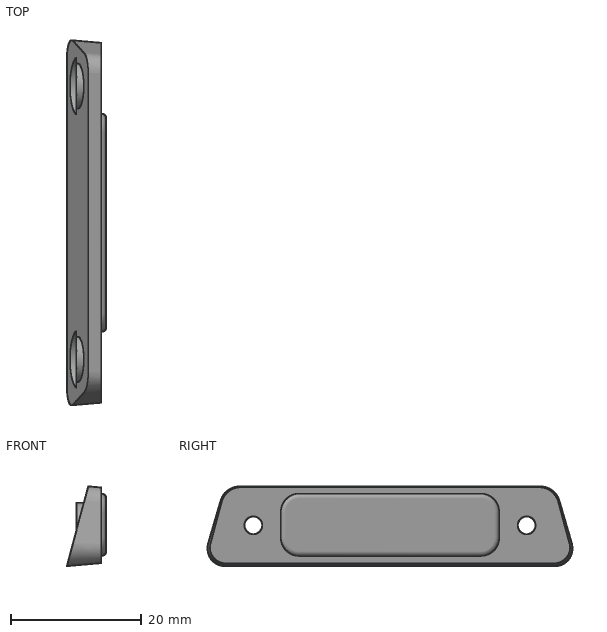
import cadquery as cq
import math

height = 12.3
depth = 5.35
draft = 5.0
end_lean = 15.0
face_tilt = 15.0
bottom_width = 56.8
bottom_half_width = bottom_width / 2
top_corner_radius = 2.9
bottom_corner_radius = 2.35

pad_half_length = 16.8
pad_bottom = 1.6
pad_height = 9.6
pad_thickness = 0.75
pad_corner_radius = 2.85
pad_embed = 0.55

seat_spacing = 42.05
seat_z = 6.3
seat_x = -3.9
boss_diameter = 6.95
pocket_diameter = 8.9
hole_diameter = 2.7

face_slope = math.tan(math.radians(face_tilt))
draft_slope = math.tan(math.radians(draft))
margin = 2.8


def drafted_body():
    """Trapezoid with rounded corners, drafted outward and trimmed by the tilted face."""
    face_top_depth = depth - height * face_slope
    back_bottom = depth * draft_slope
    back_top = height - face_top_depth * draft_slope
    top_half_width = bottom_half_width - (back_top - back_bottom) * math.tan(math.radians(end_lean))
    outline = [
        (-bottom_half_width, back_bottom),
        (bottom_half_width, back_bottom),
        (top_half_width, back_top),
        (-top_half_width, back_top),
    ]
    blank = cq.Workplane("YZ").polyline(outline).close().extrude(0.55)
    blank = blank.edges("|X").edges("<Z").fillet(bottom_corner_radius)
    blank = blank.edges("|X").edges(">Z").fillet(top_corner_radius)
    back_wire = blank.faces("<X").wires().val()
    body = cq.Workplane("YZ").add(back_wire).toPending().extrude(-depth - 0.55, taper=-draft)
    return body.intersect(behind_face())


def behind_face():
    """Space on the +X side of the tilted face."""
    low = -margin
    high = height + margin
    return (
        cq.Workplane("XZ")
        .polyline([
            (-depth + low * face_slope, low),
            (margin, low),
            (margin, high),
            (-depth + high * face_slope, high),
        ])
        .close()
        .extrude(bottom_half_width + margin, both=True)
    )


def back_pad():
    """Rounded pad whose outer edge is rounded over its full thickness."""
    pad = (
        cq.Workplane("YZ", origin=(-pad_embed, 0, 0))
        .center(0, pad_bottom + pad_height / 2)
        .rect(2 * pad_half_length, pad_height)
        .extrude(pad_thickness + pad_embed)
    )
    return pad.edges("|X").fillet(pad_corner_radius).faces(">X").edges().fillet(pad_thickness)


def cylinder_along_x(diameter, y, x_start, x_end):
    return (
        cq.Workplane("YZ", origin=(x_start, y, seat_z))
        .circle(diameter / 2)
        .extrude(x_end - x_start)
    )


result = drafted_body().union(back_pad())
for y in (-seat_spacing / 2, seat_spacing / 2):
    result = result.cut(cylinder_along_x(pocket_diameter, y, -depth - margin, seat_x))
    result = result.union(cylinder_along_x(boss_diameter, y, seat_x, 0))
    result = result.cut(cylinder_along_x(hole_diameter, y, -depth - margin, margin))